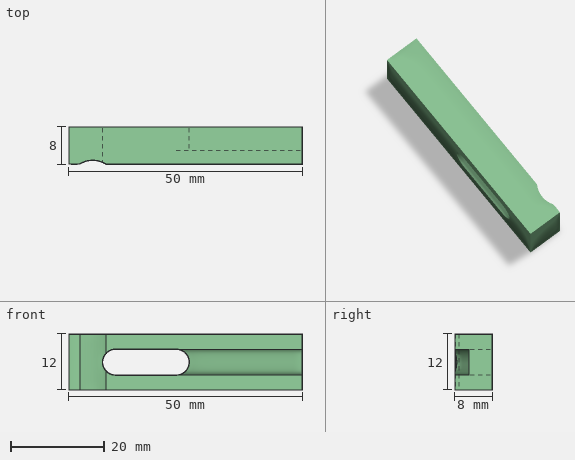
import cadquery as cq

length = 50
depth = 8
height = 12
left = -length / 2
front = -depth / 2

nose_length = 2.35
nose_setback = 0.075

relief_end = 8
relief_peak = (nose_length + relief_end) / 2
relief_depth = 0.85

slot_width = 5.5
slot_start_center = 10
slot_end_center = 23
groove_depth = 3


def make_bar():
    """Bar whose front edge has the crowned nose and the relief arc."""
    return (
        cq.Workplane("XY")
        .workplane(offset=-height / 2)
        .moveTo(left, front + nose_setback)
        .threePointArc((left + nose_length / 2, front), (left + nose_length, front + nose_setback))
        .threePointArc((left + relief_peak, front + relief_depth), (left + relief_end, front))
        .lineTo(left + length, front)
        .lineTo(left + length, front + depth)
        .lineTo(left, front + depth)
        .close()
        .extrude(height)
    )


def make_slot():
    """Round-ended slot through the full depth."""
    center_distance = slot_end_center - slot_start_center
    middle = left + (slot_start_center + slot_end_center) / 2
    return (
        cq.Workplane("XZ")
        .center(middle, 0)
        .slot2D(center_distance + slot_width, slot_width)
        .extrude(depth, both=True)
    )


def make_groove():
    """Front groove from the slot's first centre to the right end."""
    groove_length = length - slot_start_center
    groove = cq.Workplane("XY").box(
        groove_length, groove_depth, slot_width, centered=(False, False, True)
    )
    return groove.translate((left + slot_start_center, front, 0))


result = make_bar().cut(make_slot()).cut(make_groove())